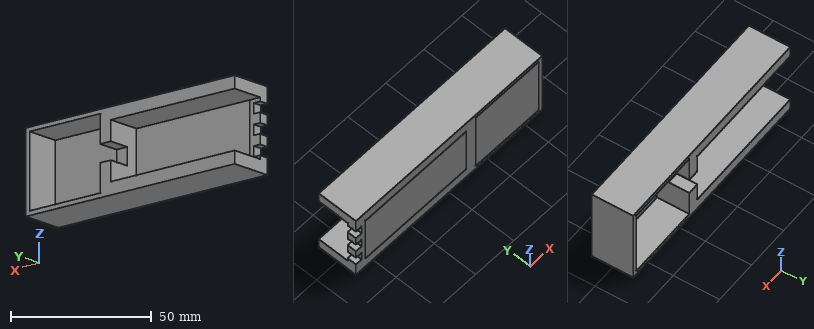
import cadquery as cq

length = 98.0
depth = 18.0
height = 33.0
side_wall = 5.0
front_wall = 4.0

channel_height = height - 2 * side_wall
channel_length = 58.0

groove_height = 7.0
groove_depth = 9.0

slot_count = 3
slot_pitch = 8.0
slot_height = 4.0
slot_length = 3.0

long_panel_start = 5.0
long_panel_length = channel_length - long_panel_start
long_panel_height = channel_height

square_panel_length = 33.0
square_panel_height = 29.5
square_panel_end_margin = 2.0
square_panel_start = length - square_panel_end_margin - square_panel_length


def block(x_start, y_start, x_size, y_size, z_size, z_centre=0.0):
    """Box that starts at the given X and Y and is centred on the given Z."""
    return (
        cq.Workplane("XY")
        .box(x_size, y_size, z_size, centered=(False, False, True))
        .translate((x_start, y_start, z_centre))
    )


def make_long_panel():
    """Panel as thick as the front wall and flush with both of its faces."""
    return block(long_panel_start, 0, long_panel_length, front_wall, long_panel_height)


def make_square_panel():
    """Panel flush with the front face, as thick as the front wall."""
    return block(square_panel_start, 0, square_panel_length, front_wall, square_panel_height)


def cut_cavities(body):
    """Channel, square pocket and the groove between them, all open at the back."""
    cavity_depth = depth - front_wall
    channel = block(0, front_wall, channel_length, cavity_depth, channel_height)
    pocket = block(square_panel_start, front_wall, square_panel_length, cavity_depth, square_panel_height)
    groove_length = square_panel_start - channel_length
    groove = block(channel_length, depth - groove_depth, groove_length, groove_depth, groove_height)
    return body.cut(channel).cut(pocket).cut(groove)


def cut_edge_slots(body):
    """Row of slots through the left edge of the front wall."""
    for index in range(slot_count):
        slot_z = (index - (slot_count - 1) / 2) * slot_pitch
        body = body.cut(block(0, 0, slot_length, front_wall, slot_height, slot_z))
    return body


def make_housing():
    """Block with the cavities, the edge slots and an opening for each panel."""
    body = block(0, 0, length, depth, height)
    body = cut_cavities(body)
    body = cut_edge_slots(body)
    return body.cut(make_long_panel()).cut(make_square_panel())


housing = make_housing()
long_panel = make_long_panel()
square_panel = make_square_panel()

result = cq.Compound.makeCompound([*housing.solids().vals(), long_panel.val(), square_panel.val()])